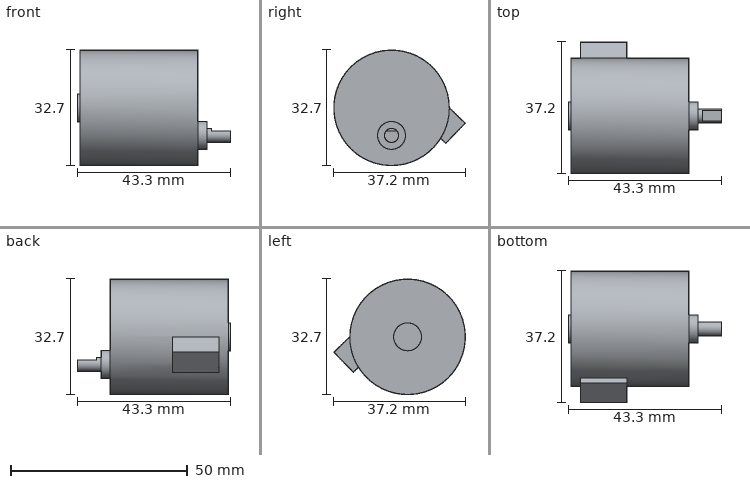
import cadquery as cq

body_diameter = 32.7
body_length = 33.38

boss_diameter = 7.9
rear_boss_length = 0.65
front_boss_length = 2.6

shaft_offset = 7.8
shaft_diameter = 4.0
shaft_length = 6.65
flat_length = 5.35
flat_depth = 0.7

box_tilt = -44.0
box_start = 2.7
box_length = 13.15
box_width = 7.92
box_reach = 18.0
box_shift = 7.4


def cylinder(start, length, diameter, z=0):
    """Cylinder along +X, starting at x = start."""
    plane = cq.Workplane("YZ", origin=(start, 0, z))
    return plane.circle(diameter / 2).extrude(length)


def output_shaft():
    """Round shaft with a flat on its upper side at the free end."""
    start = body_length + front_boss_length
    shaft = cylinder(start, shaft_length, shaft_diameter, -shaft_offset)
    flat_cut = cq.Workplane("XY").box(
        flat_length, shaft_diameter, flat_depth, centered=(False, True, False)
    )
    flat_start = start + shaft_length - flat_length
    flat_height = shaft_diameter / 2 - flat_depth - shaft_offset
    return shaft.cut(flat_cut.translate((flat_start, 0, flat_height)))


def terminal_box():
    """Rectangular box running from the body's interior out to its outer face."""
    box = cq.Workplane("XY").box(
        box_length, box_reach / 2, box_width, centered=(False, False, True)
    )
    box = box.translate((box_start, box_reach / 2, box_shift))
    return box.rotate((0, 0, 0), (1, 0, 0), box_tilt)


body = cylinder(0, body_length, body_diameter)
rear_boss = cylinder(-rear_boss_length, rear_boss_length, boss_diameter)
front_boss = cylinder(body_length, front_boss_length, boss_diameter, -shaft_offset)

result = body.union(rear_boss).union(front_boss).union(output_shaft()).union(terminal_box())